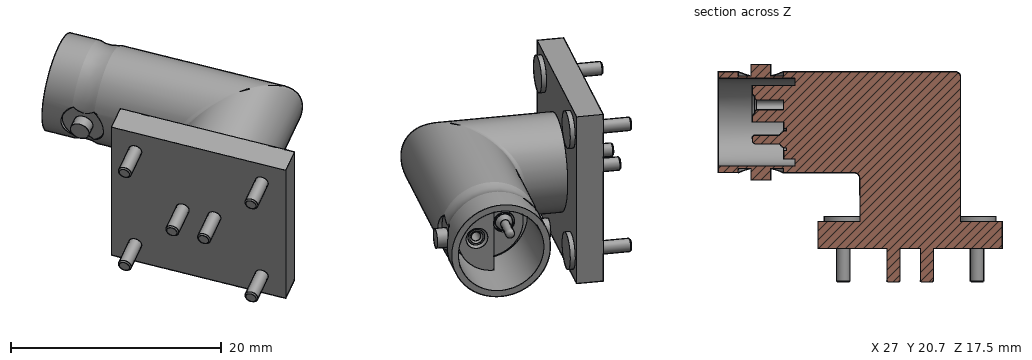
import cadquery as cq
import math


OVERALL_LENGTH = 26.95

FLANGE_SIZE = 17.5
FLANGE_THICKNESS = 2.6
BOSS_DIAMETER = 3.6
BOSS_HEIGHT = 0.49
PIN_DIAMETER = 1.3
PIN_LENGTH = 3.18
PIN_CHAMFER = 0.13
CORNER_PIN_SPACING = 12.7
CENTRE_PIN_SPACING = 3.18

TUBE_RADIUS = 4.8
TUBE_AXIS_Y = 12.0
MITRE_FILLET = 0.5
MOUTH_X = FLANGE_SIZE / 2 - OVERALL_LENGTH

LUG_X = MOUTH_X + 4.05
LUG_RADIUS = 0.95
LUG_REACH = 5.5
SPOT_FACE_RADIUS = 2.13
SPOT_FACE_LEVEL = 4.4
GROOVE_WIDTH = 2.2
GROOVE_DEPTH = 0.2

BORE_RADIUS = 4.15
BORE_DEPTH = 7.28
INSULATOR_RADIUS = 3.5
INSULATOR_HIGH_DEPTH = 3.2
INSULATOR_LOW_DEPTH = 6.2
CONTACT_OFFSET = 1.65

ENTRY_RADIUS = 1.05
ENTRY_FLOOR_RADIUS = 0.8
ENTRY_DEPTH = 0.25
CONTACT_MOUTH_RADIUS = 0.65
CONTACT_HOLE_RADIUS = 0.45
CONTACT_HOLE_DEPTH = 2.96

CLEARANCE_RADIUS = 1.02
CLEARANCE_DEPTH = 0.27
SHOULDER_RADIUS = 0.84
SHOULDER_HEIGHT = 0.4
CONTACT_PIN_RADIUS = 0.43
CONTACT_TIP_FILLET = 0.32


def cylinder_x(radius, x_start, x_end, y=TUBE_AXIS_Y):
    """Cylinder along X at height Z = 0."""
    return cq.Workplane("YZ", origin=(x_start, y, 0)).circle(radius).extrude(x_end - x_start)


def cylinder_y(radius, y_start, y_end, x=0.0, z=0.0):
    """Cylinder along Y."""
    return cq.Workplane("XZ", origin=(x, y_start, z)).circle(radius).extrude(y_start - y_end)


def revolve_x(outline, y):
    """Solid of revolution about an axis along X, from (x, radius) points."""
    profile = cq.Workplane("XY", origin=(0, y, 0)).polyline(outline).close()
    return profile.revolve(360, (0, 0, 0), (1, 0, 0))


def prism_z(outline):
    """Prism along Z, taller than the tube, from (x, y) points about the bend axis."""
    sketch = cq.Workplane("XY", origin=(0, TUBE_AXIS_Y, 0)).polyline(outline).close()
    return sketch.extrude(2 * TUBE_RADIUS, both=True)


def corner_positions():
    half = CORNER_PIN_SPACING / 2
    return [(x, z) for x in (-half, half) for z in (-half, half)]


def mitre_corner(side):
    """Part of the elbow between arm and leg, rounded along the mitre.

    A ball of the fillet radius rolls inside the outer corner (side = 1) or outside the
    inner corner (side = -1). Its centre follows an ellipse in the mitre plane, and it
    touches arm and leg in two planes through the bend axis, which bound this part.
    """
    spine_radius = TUBE_RADIUS - side * MITRE_FILLET
    mitre_plane = cq.Plane(origin=(0, TUBE_AXIS_Y, 0), xDir=(1, 1, 0), normal=(1, -1, 0))
    spine_half_length = spine_radius * math.sqrt(2)
    spine = cq.Workplane(mitre_plane).ellipse(spine_half_length, spine_radius)
    slab = cq.Workplane(mitre_plane).ellipse(spine_half_length, spine_radius)
    slab = slab.extrude(MITRE_FILLET, both=True)
    spine_end = cq.Plane(
        origin=(spine_radius, TUBE_AXIS_Y + spine_radius, 0),
        xDir=(1, 1, 0),
        normal=(0, 0, 1),
    )
    ball_path = cq.Workplane(spine_end).circle(MITRE_FILLET).sweep(spine)
    wedge = prism_z([
        (0, 0),
        (2 * side * spine_radius, 2 * side * TUBE_RADIUS),
        (2 * side * TUBE_RADIUS, 2 * side * spine_radius),
    ])
    rounded = slab.union(ball_path) if side > 0 else slab.cut(ball_path)
    return rounded.intersect(wedge)


def make_elbow():
    """Two equal cylinders meeting in a 45 degree mitre with a rounded corner."""
    outer = 2 * (TUBE_RADIUS - MITRE_FILLET)
    inner = 2 * (TUBE_RADIUS + MITRE_FILLET)
    end = 2 * TUBE_RADIUS
    arm_limit = [(-inner, -end), (0, 0), (outer, end), (MOUTH_X, end), (MOUTH_X, -end)]
    leg_limit = [(-end, -inner), (0, 0), (end, outer), (end, -TUBE_AXIS_Y), (-end, -TUBE_AXIS_Y)]

    arm = cylinder_x(TUBE_RADIUS, MOUTH_X, TUBE_RADIUS).intersect(prism_z(arm_limit))
    leg = cylinder_y(TUBE_RADIUS, FLANGE_THICKNESS, TUBE_AXIS_Y + TUBE_RADIUS).intersect(prism_z(leg_limit))
    return arm.union(leg).union(mitre_corner(1)).union(mitre_corner(-1))


def make_flange():
    flange = cq.Workplane("XZ").rect(FLANGE_SIZE, FLANGE_SIZE).extrude(-FLANGE_THICKNESS)
    for x, z in corner_positions():
        flange = flange.union(cylinder_y(BOSS_DIAMETER / 2, 0, FLANGE_THICKNESS + BOSS_HEIGHT, x, z))
    return flange


def make_pins():
    half = CENTRE_PIN_SPACING / 2
    positions = corner_positions() + [(-half, 0), (half, 0)]
    pins = cq.Workplane("XZ").pushPoints(positions).circle(PIN_DIAMETER / 2).extrude(PIN_LENGTH)
    return pins.faces("<Y").chamfer(PIN_CHAMFER)


def add_bayonet_collar(elbow):
    """Shallow arc groove round the mouth end, two spot faces and a lug on each."""
    half = GROOVE_WIDTH / 2
    groove = (
        cq.Workplane("XY", origin=(LUG_X, TUBE_AXIS_Y, 0))
        .moveTo(-half, TUBE_RADIUS + GROOVE_DEPTH)
        .lineTo(-half, TUBE_RADIUS)
        .threePointArc((0, TUBE_RADIUS - GROOVE_DEPTH), (half, TUBE_RADIUS))
        .lineTo(half, TUBE_RADIUS + GROOVE_DEPTH)
        .close()
        .revolve(360, (0, 0, 0), (1, 0, 0))
    )
    elbow = elbow.cut(groove)
    for side in (-1, 1):
        flat_y = TUBE_AXIS_Y + side * SPOT_FACE_LEVEL
        lug_end_y = TUBE_AXIS_Y + side * LUG_REACH
        elbow = elbow.cut(cylinder_y(SPOT_FACE_RADIUS, flat_y, lug_end_y, LUG_X))
        elbow = elbow.union(cylinder_y(LUG_RADIUS, TUBE_AXIS_Y, lug_end_y, LUG_X))
    return elbow


def make_insulator():
    """Round insulator: the +Y half stands higher than the -Y half."""
    floor_x = MOUTH_X + BORE_DEPTH
    high_x = MOUTH_X + INSULATOR_HIGH_DEPTH
    low_x = MOUTH_X + INSULATOR_LOW_DEPTH
    step = (
        cq.Workplane("YZ", origin=(high_x, TUBE_AXIS_Y, 0))
        .rect(INSULATOR_RADIUS, 2 * INSULATOR_RADIUS)
        .extrude(low_x - high_x)
        .translate((0, -INSULATOR_RADIUS / 2, 0))
    )
    return cylinder_x(INSULATOR_RADIUS, high_x, floor_x).cut(step)


def female_contact_cavity():
    """Tapered entry with a flat floor, then a chamfered blind hole."""
    face_x = MOUTH_X + INSULATOR_HIGH_DEPTH
    entry_x = face_x + ENTRY_DEPTH
    mouth_taper = CONTACT_MOUTH_RADIUS - CONTACT_HOLE_RADIUS
    end_x = face_x + CONTACT_HOLE_DEPTH
    return revolve_x([
        (face_x, 0),
        (face_x, ENTRY_RADIUS),
        (entry_x, ENTRY_FLOOR_RADIUS),
        (entry_x, CONTACT_MOUTH_RADIUS),
        (entry_x + mouth_taper, CONTACT_HOLE_RADIUS),
        (end_x, CONTACT_HOLE_RADIUS),
        (end_x, 0),
    ], TUBE_AXIS_Y + CONTACT_OFFSET)


def add_male_contact(body):
    """Round-tipped pin on a conical shoulder, reaching level with the high half."""
    axis_y = TUBE_AXIS_Y - CONTACT_OFFSET
    face_x = MOUTH_X + INSULATOR_LOW_DEPTH
    base_x = face_x + CLEARANCE_DEPTH
    tip_x = MOUTH_X + INSULATOR_HIGH_DEPTH
    pin = cylinder_x(CONTACT_PIN_RADIUS, tip_x, base_x, axis_y)
    pin = pin.faces("<X").edges().fillet(CONTACT_TIP_FILLET)
    shoulder = revolve_x([
        (base_x, 0),
        (base_x, SHOULDER_RADIUS),
        (face_x, SHOULDER_RADIUS),
        (face_x - SHOULDER_HEIGHT, CONTACT_PIN_RADIUS),
        (face_x - SHOULDER_HEIGHT, 0),
    ], axis_y)
    clearance = cylinder_x(CLEARANCE_RADIUS, face_x, base_x, axis_y)
    return body.cut(clearance).union(shoulder).union(pin)


body = add_bayonet_collar(make_elbow())
body = body.cut(cylinder_x(BORE_RADIUS, MOUTH_X, MOUTH_X + BORE_DEPTH))
body = body.union(make_insulator())
body = body.cut(female_contact_cavity())
body = add_male_contact(body)

result = body.union(make_flange()).union(make_pins())